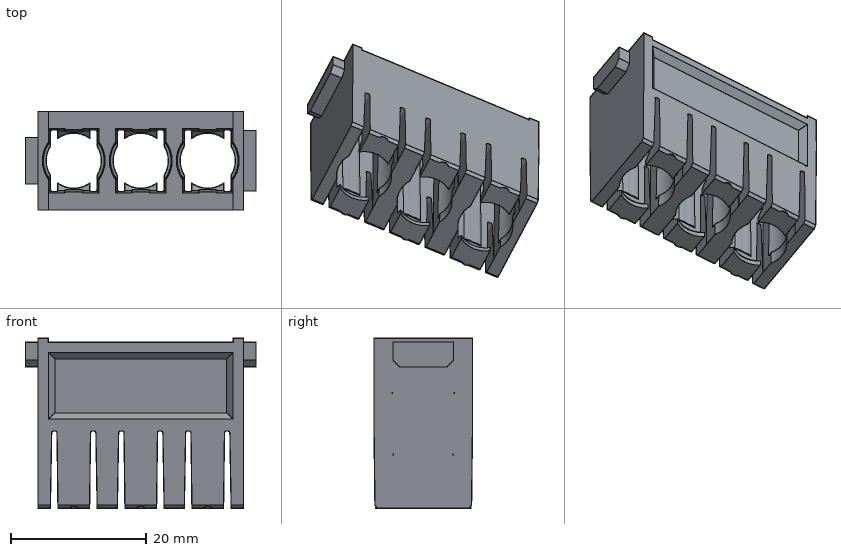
import cadquery as cq
import math

BODY_LENGTH = 30.45
BODY_WIDTH = 14.65
TOTAL_HEIGHT = 25.2
DECK_HEIGHT = 24.6
END_STRIP_WIDTH = 1.55
SKIRT_HEIGHT = 13.2
SKIRT_INSET = 0.15
EDGE_CHAMFER_HEIGHT = 0.5
EDGE_CHAMFER_WIDTH = 0.4

TOTAL_LENGTH = 34.2
TAB_PROJECTION = (TOTAL_LENGTH - BODY_LENGTH) / 2
LEFT_TAB_WIDTH = 6.95
RIGHT_TAB_WIDTH = 9.0
TAB_HEIGHT = 3.65
TAB_CHAMFER = 1.0

RECESS_LENGTH = BODY_LENGTH - 2 * END_STRIP_WIDTH
RECESS_TOP = 23.1
RECESS_DEPTH = 1.05
RECESS_BEVEL = 0.95

CHAMBER_COUNT = 3
CHAMBER_PITCH = 9.92
CHAMBER_LENGTH = 7.5
CHAMBER_WIDTH = 9.5
END_WALL_DRAFT = 0.3
LONG_WALL_DRAFT = 0.4
BORE_TOP_RADIUS = 4.65
BORE_SEAT_RADIUS = 4.5
BORE_BASE_RADIUS = 4.07

RIB_FOOT_HALF_WIDTH = 1.4
RIB_SHOULDER_HALF_WIDTH = 1.1
RIB_CREST_HALF_WIDTH = 0.55
RIB_SHOULDER_RISE = 0.12
RIB_CREST_RISE = 0.16
RIB_MIDDLE_RISE = 0.1
RIB_ROOT_DEPTH = 0.2

SLOT_HEIGHT = 11.45
SLOT_TOP_INNER = 2.5
SLOT_TOP_OUTER = 3.25
SLOT_BASE_INNER = 2.36
SLOT_BASE_OUTER = 3.45
SLOT_CORNER_RADIUS = 0.3
LIP_HEIGHT = 1.0
LIP_RAMP_HEIGHT = 1.5
LIP_TOP = LIP_HEIGHT + LIP_RAMP_HEIGHT

NIB_BASE_RADIUS = 1.05
NIB_TOP_RADIUS = 0.95
NIB_HEIGHT = 0.4
NIB_REACH = 7.08

chamber_centers = [
    (index - (CHAMBER_COUNT - 1) / 2) * CHAMBER_PITCH for index in range(CHAMBER_COUNT)
]


def box(x_range, y_range, z_range):
    """Axis-aligned block between the given limits."""
    corner = (x_range[0], y_range[0], z_range[0])
    return cq.Workplane("XY").box(
        x_range[1] - x_range[0], y_range[1] - y_range[0], z_range[1] - z_range[0], centered=False
    ).translate(corner)


def cone(base_radius, top_radius, height, center=(0, 0, 0)):
    """Upright truncated cone standing on the given point."""
    return cq.Workplane(cq.Solid.makeCone(base_radius, top_radius, height)).translate(center)


def make_body():
    """End-to-end housing block with tapered skirt and a lowered deck."""
    half_width = BODY_WIDTH / 2
    base_half = half_width - SKIRT_INSET
    foot_half = base_half - EDGE_CHAMFER_WIDTH
    right_side = [
        (foot_half, 0),
        (base_half, EDGE_CHAMFER_HEIGHT),
        (half_width, SKIRT_HEIGHT),
        (half_width, TOTAL_HEIGHT),
    ]
    left_side = [(-y, z) for y, z in reversed(right_side)]
    body = (
        cq.Workplane("YZ")
        .polyline(right_side + left_side)
        .close()
        .extrude(BODY_LENGTH / 2, both=True)
    )
    deck_half = BODY_LENGTH / 2 - END_STRIP_WIDTH
    return body.cut(
        box((-deck_half, deck_half), (-half_width, half_width), (DECK_HEIGHT, TOTAL_HEIGHT))
    )


def make_tab(side, width):
    """End tab, flush with the deck, with chamfered lower corners; side is -1 or +1."""
    inner = side * BODY_LENGTH / 2
    outer = inner + side * TAB_PROJECTION
    return box(
        sorted((inner, outer)),
        (-width / 2, width / 2),
        (DECK_HEIGHT - TAB_HEIGHT, DECK_HEIGHT),
    ).edges("|X and <Z").chamfer(TAB_CHAMFER)


def make_recess():
    """Label recess with bevelled walls, narrowing inward from the -Y side."""
    recess_height = RECESS_TOP - SKIRT_HEIGHT
    bevel_angle = math.degrees(math.atan(RECESS_BEVEL / RECESS_DEPTH))
    return (
        cq.Workplane("XZ", origin=(0, -BODY_WIDTH / 2, SKIRT_HEIGHT + recess_height / 2))
        .rect(RECESS_LENGTH, recess_height)
        .extrude(-RECESS_DEPTH, taper=bevel_angle)
    )


def make_rib(side):
    """Guide rib with a hollowed crest, leaning with the chamber wall; side is -1 or +1."""
    def section(height):
        wall = CHAMBER_WIDTH / 2 - LONG_WALL_DRAFT * (1 - height / DECK_HEIGHT)
        shoulder = side * (wall - RIB_SHOULDER_RISE)
        crest = side * (wall - RIB_CREST_RISE)
        middle = side * (wall - RIB_MIDDLE_RISE)
        root = side * (wall + RIB_ROOT_DEPTH)
        return (
            cq.Workplane("XY", origin=(0, 0, height))
            .moveTo(-RIB_FOOT_HALF_WIDTH, root)
            .lineTo(-RIB_FOOT_HALF_WIDTH, side * wall)
            .lineTo(-RIB_SHOULDER_HALF_WIDTH, shoulder)
            .lineTo(-RIB_CREST_HALF_WIDTH, crest)
            .threePointArc((0, middle), (RIB_CREST_HALF_WIDTH, crest))
            .lineTo(RIB_SHOULDER_HALF_WIDTH, shoulder)
            .lineTo(RIB_FOOT_HALF_WIDTH, side * wall)
            .lineTo(RIB_FOOT_HALF_WIDTH, root)
            .close()
            .val()
        )

    return cq.Workplane(cq.Solid.makeLoft([section(LIP_TOP), section(DECK_HEIGHT)], True))


def make_chamber():
    """Drafted, ribbed rectangular shaft joined with a seated round bore, on the Z axis."""
    shaft = (
        cq.Workplane("XY", origin=(0, 0, DECK_HEIGHT))
        .rect(CHAMBER_LENGTH, CHAMBER_WIDTH)
        .workplane(offset=-DECK_HEIGHT)
        .rect(CHAMBER_LENGTH - 2 * END_WALL_DRAFT, CHAMBER_WIDTH - 2 * LONG_WALL_DRAFT)
        .loft()
    )
    bore = cone(BORE_SEAT_RADIUS, BORE_TOP_RADIUS, TOTAL_HEIGHT - LIP_TOP, (0, 0, LIP_TOP))
    seat_hole = cq.Workplane("XY").circle(BORE_BASE_RADIUS).extrude(LIP_TOP)
    chamber = shaft.union(bore).union(seat_hole)
    return chamber.cut(make_rib(-1)).cut(make_rib(1))


def make_lips():
    """Inward lips at the tips of the two opposite tongues of a chamber."""
    wall_half = CHAMBER_WIDTH / 2
    lips = box((-SLOT_TOP_INNER, SLOT_TOP_INNER), (-wall_half, wall_half), (0, LIP_TOP))
    opening = cq.Workplane("XY").circle(BORE_BASE_RADIUS).extrude(LIP_HEIGHT)
    ramp_radius = math.hypot(wall_half, SLOT_TOP_INNER)
    ramp = cone(BORE_BASE_RADIUS, ramp_radius, LIP_RAMP_HEIGHT, (0, 0, LIP_HEIGHT))
    return lips.cut(opening).cut(ramp)


def make_slot(side):
    """Slot through both long walls, widening downward; side is -1 or +1."""
    outline = [
        (side * SLOT_BASE_INNER, 0),
        (side * SLOT_BASE_OUTER, 0),
        (side * SLOT_TOP_OUTER, SLOT_HEIGHT),
        (side * SLOT_TOP_INNER, SLOT_HEIGHT),
    ]
    slot = cq.Workplane("XZ").polyline(outline).close().extrude(BODY_WIDTH / 2, both=True)
    return slot.edges("|Y and >Z").fillet(SLOT_CORNER_RADIUS)


def make_nib(side):
    """Conical nib on the foot chamfer of one tongue; side is -1 or +1."""
    axis_y = side * (NIB_REACH - NIB_BASE_RADIUS)
    return cone(NIB_BASE_RADIUS, NIB_TOP_RADIUS, NIB_HEIGHT, (0, axis_y, 0))


result = make_body()
result = result.union(make_tab(-1, LEFT_TAB_WIDTH)).union(make_tab(1, RIGHT_TAB_WIDTH))
result = result.cut(make_recess())

for center in chamber_centers:
    shift = (center, 0, 0)
    result = result.cut(make_chamber().translate(shift))
    result = result.union(make_lips().translate(shift))
    for direction in (-1, 1):
        result = result.union(make_nib(direction).translate(shift))
        result = result.cut(make_slot(direction).translate(shift))